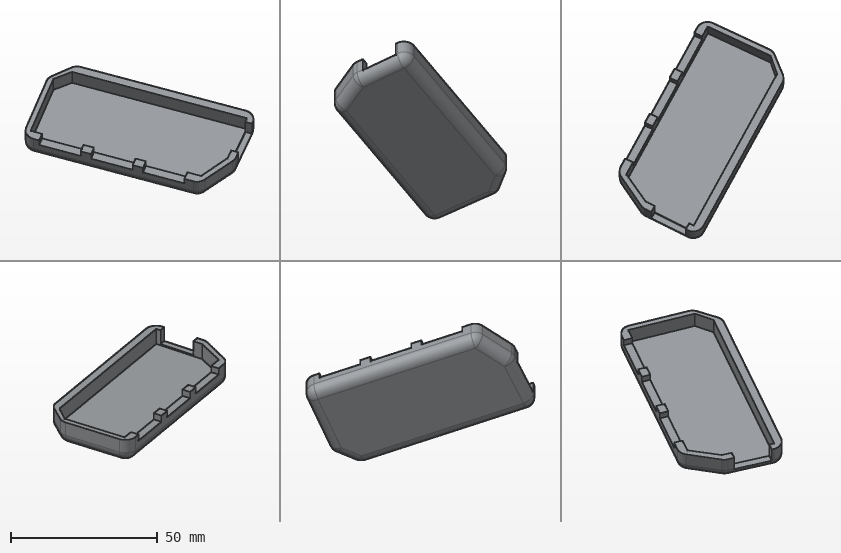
import cadquery as cq

length = 72.5
width = 35.15
height = 9.0

corner_radius = 4.0
bottom_radius = 3.9
right_side_lean = 0.95
back_left_cut_x = 7.3
back_left_cut_y = 8.1
front_right_cut_start = 63.9
front_right_cut_top = 13.55
right_corner_overhang = 0.11

floor_thickness = 3.05
left_wall = 1.95
front_wall = 3.05
back_wall = 3.05
pocket_back_left_cut = 5.0
pocket_right_back = 70.0
pocket_right_front = 69.4
pocket_front_right_cut_start = 63.4
pocket_front_right_cut_top = 13.4

front_notch_count = 3
front_notch_start = 6.1
front_notch_length = 14.9
front_notch_pitch = 18.7
front_notch_depth = 2.5
side_notch_start = 16.95
side_notch_end = 30.4
side_notch_depth = 5.4


def make_body():
    """Solid block with two cut corners, rounded upright edges and a rounded underside."""
    right_back = length + right_corner_overhang
    right_front = right_back - right_side_lean * (width - front_right_cut_top) / width
    outline = [
        (0, 0),
        (front_right_cut_start, 0),
        (right_front, front_right_cut_top),
        (right_back, width),
        (back_left_cut_x, width),
        (0, width - back_left_cut_y),
    ]
    block = cq.Workplane("XY").polyline(outline).close().extrude(height)
    return block.edges("|Z").fillet(corner_radius).faces("<Z").edges().fillet(bottom_radius)


def make_pocket():
    """Open-topped pocket that follows the cut corners of the body."""
    pocket_back = width - back_wall
    outline = [
        (left_wall, front_wall),
        (pocket_front_right_cut_start, front_wall),
        (pocket_right_front, pocket_front_right_cut_top),
        (pocket_right_back, pocket_back),
        (left_wall + pocket_back_left_cut, pocket_back),
        (left_wall, pocket_back - pocket_back_left_cut),
    ]
    pocket_depth = height - floor_thickness
    floor_plane = cq.Workplane("XY").workplane(offset=floor_thickness)
    return floor_plane.polyline(outline).close().extrude(pocket_depth)


def make_notch(x_start, x_end, y_start, y_end, depth):
    """Rectangular cutter reaching down from the rim."""
    size = (x_end - x_start, y_end - y_start, depth)
    return cq.Workplane("XY").box(*size, centered=False).translate((x_start, y_start, height - depth))


result = make_body().cut(make_pocket())

for index in range(front_notch_count):
    notch_x = front_notch_start + index * front_notch_pitch
    result = result.cut(make_notch(notch_x, notch_x + front_notch_length, 0, front_wall, front_notch_depth))

side_notch_outer_end = length + corner_radius
side_notch = make_notch(
    pocket_right_front, side_notch_outer_end, side_notch_start, side_notch_end, side_notch_depth
)
result = result.cut(side_notch)